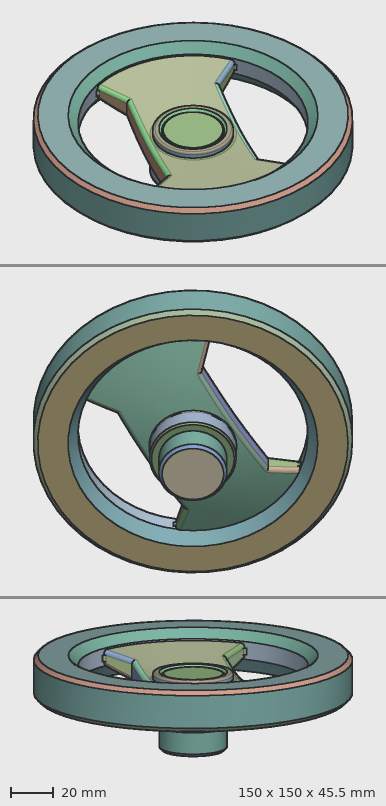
import cadquery as cq
import math

rim_radius = 75.0
top_z = 45.5
rim_height = 20.0
rim_bottom_z = top_z - rim_height
rim_chamfer = 2.1
opening_radius = 54.0
opening_flare = 4.6
upper_flare_depth = 4.5
lower_flare_depth = 6.9

web_half_width = 22.8
web_flare_x = 31.0
web_rim_overlap = 0.8
web_outer_radius = opening_radius + web_rim_overlap
web_inner_top_z = 34.4
web_outer_top_z = 40.2
web_inner_bottom_z = 22.8
web_middle_radius = 36.0
web_middle_bottom_z = 26.2
web_outer_bottom_z = 32.4
web_edge_radius = 2.1
web_end_radius = 1.0
end_fillet_bottom_z = 34.6
end_fillet_top_z = 37.8
end_overlap = 0.6

collar_radius = 40.6 / 2
collar_bottom_z = 12.6
collar_chamfer = 0.9
collar_root_radius = 0.9
collar_root_z = 23.1
shaft_radius = 32.0 / 2
shaft_chamfer = 1.5
ring_radius = 38.0 / 2
ring_top_z = 37.5
ring_rounding = 1.0
groove_bottom_radius = 14.7
groove_depth = 1.2
cap_radius = 28.0 / 2
cap_top_z = 36.8


def revolve_about_z(profile):
    """Revolve a closed (radius, Z) profile about the Z axis."""
    return profile.close().revolve(360, (0, 0, 0), (0, 1, 0))


def make_rim():
    flared_radius = opening_radius + opening_flare
    chamfered_radius = rim_radius - rim_chamfer
    return revolve_about_z(
        cq.Workplane("XZ")
        .moveTo(flared_radius, rim_bottom_z)
        .lineTo(chamfered_radius, rim_bottom_z)
        .lineTo(rim_radius, rim_bottom_z + rim_chamfer)
        .lineTo(rim_radius, top_z - rim_chamfer)
        .lineTo(chamfered_radius, top_z)
        .lineTo(flared_radius, top_z)
        .lineTo(opening_radius, top_z - upper_flare_depth)
        .lineTo(opening_radius, rim_bottom_z + lower_flare_depth)
    )


def make_web():
    dish = revolve_about_z(
        cq.Workplane("XZ")
        .moveTo(0, web_inner_bottom_z)
        .lineTo(collar_radius, web_inner_bottom_z)
        .threePointArc(
            (web_middle_radius, web_middle_bottom_z),
            (web_outer_radius, web_outer_bottom_z),
        )
        .lineTo(web_outer_radius, web_outer_top_z)
        .lineTo(collar_radius, web_inner_top_z)
        .lineTo(0, web_inner_top_z)
    )
    end_x = web_outer_radius
    end_y = web_half_width + end_x - web_flare_x
    outline = (
        cq.Workplane("XY")
        .polyline([
            (end_x, -end_y),
            (end_x, end_y),
            (web_flare_x, web_half_width),
            (-web_flare_x, web_half_width),
            (-end_x, end_y),
            (-end_x, -end_y),
            (-web_flare_x, -web_half_width),
            (web_flare_x, -web_half_width),
        ])
        .close()
        .extrude(top_z)
    )
    web = dish.intersect(outline)
    side_faces = web.faces("%PLANE").faces("#Z")
    return side_faces.edges("not(|Z)").fillet(web_edge_radius)


def make_hub():
    arc_middle = ring_rounding * math.sqrt(0.5)
    return revolve_about_z(
        cq.Workplane("XZ")
        .moveTo(0, 0)
        .lineTo(shaft_radius - shaft_chamfer, 0)
        .lineTo(shaft_radius, shaft_chamfer)
        .lineTo(shaft_radius, collar_bottom_z)
        .lineTo(collar_radius - collar_chamfer, collar_bottom_z)
        .lineTo(collar_radius, collar_bottom_z + collar_chamfer)
        .lineTo(collar_radius, collar_root_z - collar_root_radius)
        .radiusArc((collar_radius + collar_root_radius, collar_root_z), collar_root_radius)
        .lineTo(ring_radius, collar_root_z)
        .lineTo(ring_radius, ring_top_z - ring_rounding)
        .threePointArc(
            (ring_radius - ring_rounding + arc_middle, ring_top_z - ring_rounding + arc_middle),
            (ring_radius - ring_rounding, ring_top_z),
        )
        .lineTo(shaft_radius, ring_top_z)
        .lineTo(groove_bottom_radius, ring_top_z - groove_depth)
        .lineTo(cap_radius, cap_top_z)
        .lineTo(0, cap_top_z)
    )


def make_end_fillets():
    """Concave strips in the four upright corners where the web sides meet the rim."""
    offset = web_flare_x - web_half_width
    half_span = math.sqrt(opening_radius**2 / 2 - (offset / 2) ** 2)
    corner_x = half_span + offset / 2
    corner_y = half_span - offset / 2
    arc_middle = web_end_radius * (1 - math.sqrt(0.5))
    strip = (
        cq.Workplane("XY")
        .moveTo(-web_end_radius, 0)
        .threePointArc((-arc_middle, arc_middle), (0, web_end_radius))
        .lineTo(end_overlap, web_end_radius)
        .lineTo(end_overlap, -end_overlap)
        .lineTo(-web_end_radius, -end_overlap)
        .close()
        .extrude(end_fillet_top_z - end_fillet_bottom_z)
        .rotate((0, 0, 0), (0, 0, 1), 45)
        .translate((corner_x, corner_y, end_fillet_bottom_z))
    )
    pair = strip.union(strip.mirror("YZ"))
    return pair.union(pair.mirror("XZ"))


result = make_rim().union(make_web()).union(make_end_fillets()).union(make_hub())